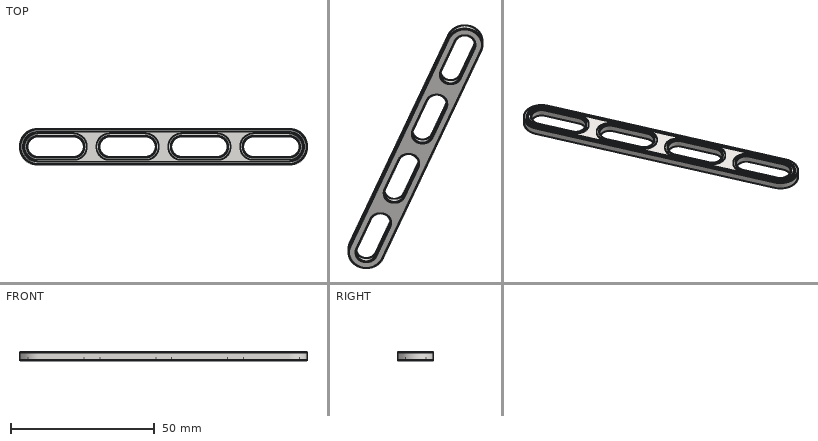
import cadquery as cq

unit = 12.5
length = 8 * unit
width = unit
thickness = unit / 4

slot_count = 4
slot_pitch = 2 * unit
slot_width = 7.0
slot_length = unit + slot_width

edge_chamfer = 0.3

border_flat = 0.8
border_width = edge_chamfer + border_flat
recess_depth = 0.2


def make_round_ended_bar(bar_length, bar_width, height):
    """Solid with a straight-sided, round-ended outline along X, standing on Z = 0."""
    return cq.Workplane("XY").slot2D(bar_length, bar_width).extrude(height)


def at_each_slot(shape):
    """Copies of a centred shape at every slot position, joined together."""
    copies = cq.Workplane("XY")
    for index in range(slot_count):
        slot_x = (index - (slot_count - 1) / 2) * slot_pitch
        copies = copies.add(shape.translate((slot_x, 0, 0)))
    return copies.combine()


def make_slotted_bar():
    """Bar with its through slots, all edges of both faces chamfered."""
    bar = make_round_ended_bar(length, width, thickness)
    slots = at_each_slot(make_round_ended_bar(slot_length, slot_width, thickness))
    return bar.cut(slots).faces("<Z or >Z").chamfer(edge_chamfer)


def make_recess():
    """Shallow pocket in the top face, inset from the rim and clear of the slot borders."""
    inset = 2 * border_width
    pocket = make_round_ended_bar(length - inset, width - inset, recess_depth)
    slot_surround = make_round_ended_bar(slot_length + inset, slot_width + inset, recess_depth)
    return pocket.cut(at_each_slot(slot_surround)).translate((0, 0, thickness - recess_depth))


result = make_slotted_bar().cut(make_recess())